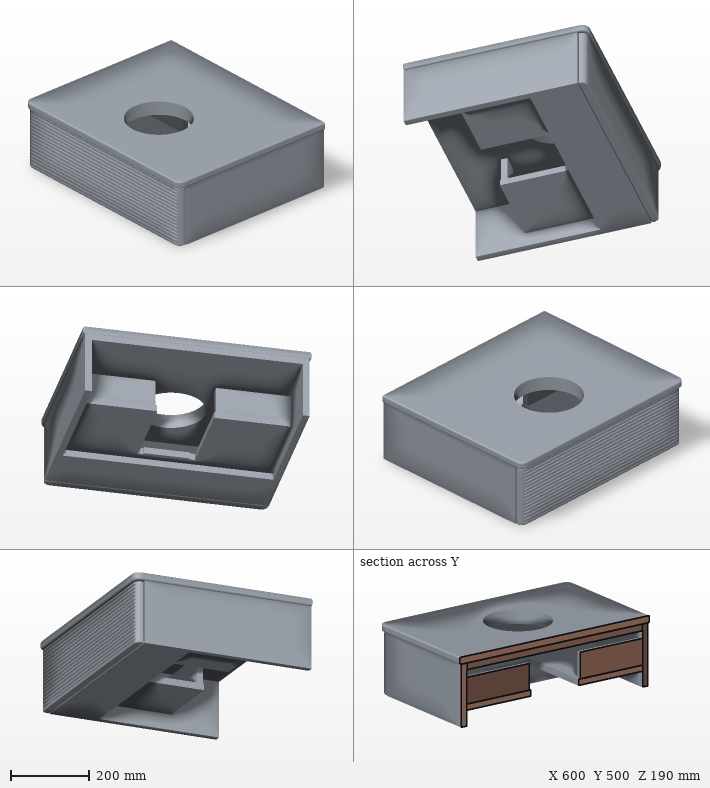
import cadquery as cq


worktop_width = 600.0
worktop_depth = 500.0
total_height = 190.0
worktop_thickness = 20.5
worktop_corner_radius = 21.0
worktop_edge_radius = 5.0
worktop_back_radius = 2.0
worktop_underside = total_height - worktop_thickness

opening_diameter = 180.0
opening_y = -305.0

carcass_width = 590.5
carcass_depth = 470.5
panel_thickness = 18.0
inner_width = carcass_width - 2 * panel_thickness

cover_length = 30.0
cover_height = 16.0
cover_thickness = 3.0
cover_back_offset = 16.0
cover_bottom = 15.5

front_width = 589.0
front_gap = 2.5
front_thickness = 21.5
front_height = 167.5
front_corner_radius = 17.5
front_edge_radius = 2.5
front_back_y = -carcass_depth - front_gap
front_face_y = front_back_y - front_thickness

groove_count = 16
groove_span = 150.0
groove_pitch = groove_span / (groove_count - 1)
groove_radius = 2.5
first_groove_z = 8.5

floor_top = 60.5
floor_back_y = -134.5
slot_width = 150.0
slot_front_y = -350.5
slot_relief_width = 14.5
slot_relief_depth = 5.0

drawer_back_slot_inset = 5.0
drawer_back_rear_inset = 1.0
drawer_back_height = 72.0

bottom_back_y = -337.0


def box_between(x_min, x_max, y_min, y_max, z_min, z_max):
    """Box that fills the given ranges along X, Y and Z."""
    size = (x_max - x_min, y_max - y_min, z_max - z_min)
    return cq.Workplane("XY").box(*size, centered=False).translate((x_min, y_min, z_min))


def basin_opening():
    """Vertical cylinder that cuts the basin opening."""
    return (
        cq.Workplane("XY")
        .center(0, opening_y)
        .circle(opening_diameter / 2)
        .extrude(total_height)
    )


def make_worktop():
    half_width = worktop_width / 2
    slab = box_between(-half_width, half_width, -worktop_depth, 0, worktop_underside, total_height)
    slab = slab.edges("|Z and <Y").fillet(worktop_corner_radius)
    slab = slab.faces("<Y").edges("|X").fillet(worktop_edge_radius)
    slab = slab.faces(">Y").edges().fillet(worktop_back_radius)
    return slab.cut(basin_opening())


def make_top_panel():
    panel = box_between(
        -inner_width / 2,
        inner_width / 2,
        -carcass_depth,
        0,
        worktop_underside - panel_thickness,
        worktop_underside,
    )
    return panel.cut(basin_opening())


def make_side_panel(side):
    """Side panel; side is -1 for the left one and +1 for the right one."""
    outer_x = side * carcass_width / 2
    inner_x = side * inner_width / 2
    return box_between(
        min(outer_x, inner_x), max(outer_x, inner_x), -carcass_depth, 0, 0, worktop_underside
    )


def make_cover():
    """Plate flush with the outer face of the left side panel."""
    outer_x = -carcass_width / 2
    return box_between(
        outer_x,
        outer_x + cover_thickness,
        -cover_back_offset - cover_length,
        -cover_back_offset,
        cover_bottom,
        cover_bottom + cover_height,
    )


def make_groove(z):
    return (
        cq.Workplane("YZ", origin=(-front_width / 2, front_face_y, z))
        .circle(groove_radius)
        .extrude(front_width)
    )


def make_drawer_front():
    half_width = front_width / 2
    front = box_between(-half_width, half_width, front_face_y, front_back_y, 0, front_height)
    front = front.edges("|Z and <Y").fillet(front_corner_radius)
    front = front.faces("<Z or >Z or >Y").edges().fillet(front_edge_radius)
    for index in range(groove_count):
        front = front.cut(make_groove(first_groove_z + index * groove_pitch))
    return front


def make_drawer_floor():
    floor_bottom = floor_top - panel_thickness
    half_slot = slot_width / 2
    floor = box_between(
        -inner_width / 2, inner_width / 2, -carcass_depth, floor_back_y, floor_bottom, floor_top
    )
    floor = floor.cut(
        box_between(-half_slot, half_slot, slot_front_y, floor_back_y, floor_bottom, floor_top)
    )
    for left in (-half_slot, half_slot - slot_relief_width):
        relief = box_between(
            left,
            left + slot_relief_width,
            slot_front_y - slot_relief_depth,
            slot_front_y,
            floor_bottom,
            floor_top,
        )
        floor = floor.cut(relief)
    return floor


def make_drawer_back(side):
    """Piece of the drawer back on one side of the slot."""
    near_x = side * (slot_width / 2 + drawer_back_slot_inset)
    far_x = side * inner_width / 2
    back_y = floor_back_y - drawer_back_rear_inset
    return box_between(
        min(near_x, far_x),
        max(near_x, far_x),
        back_y - panel_thickness,
        back_y,
        floor_top,
        floor_top + drawer_back_height,
    )


def make_bottom_panel():
    return box_between(
        -inner_width / 2, inner_width / 2, -carcass_depth, bottom_back_y, 0, panel_thickness
    )


worktop = make_worktop()
top_panel = make_top_panel()
cover = make_cover()
side_panels = [make_side_panel(-1).cut(cover), make_side_panel(1)]
drawer_front = make_drawer_front()
drawer_floor = make_drawer_floor()
drawer_backs = [make_drawer_back(side) for side in (-1, 1)]
bottom_panel = make_bottom_panel()

result = cq.Compound.makeCompound(
    [
        worktop.val(),
        top_panel.val(),
        *[panel.val() for panel in side_panels],
        cover.val(),
        drawer_front.val(),
        drawer_floor.val(),
        *[piece.val() for piece in drawer_backs],
        bottom_panel.val(),
    ]
)